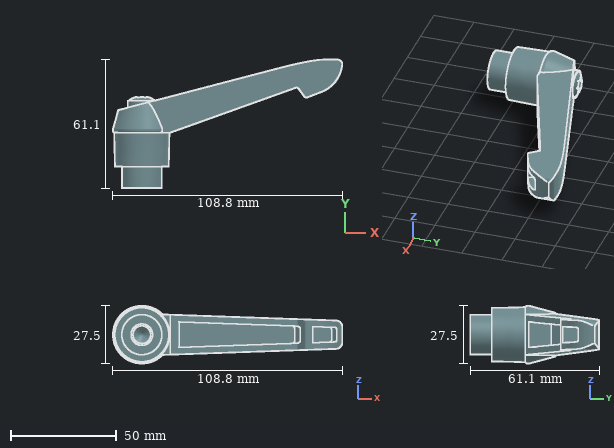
import cadquery as cq
import math


insert_diameter = 19.0
insert_length = 10.2
hole_diameter = 8.38
hole_mouth_diameter = 10.2
hole_depth = 20.0
drill_point_angle = 118.0

skirt_bottom_radius = 12.8
skirt_top_radius = 13.15
skirt_top = 26.2
rim_radius = 13.73
rim_round_height = 1.0
rim_land = 0.8
head_cone_angle = 15.0

screw_radius = 6.7
screw_shoulder = 41.5
dome_radius = 6.2
dome_sphere_radius = 9.96
socket_across_flats = 6.0
socket_depth = 5.0

top_angle = 14.65
top_height_at_axis = 39.9
arm_end = 95.02
crown_start_x = 66.2
crown_break = (80.2, 60.3)
crown_end = (92.2, 60.93)
nose_height = 58.9
nose_bulge = (94.3, 60.2)
tip_bulge = (92.4, 51.4)
tip_arc_start = (85.35, 45.6)
underside_start = 13.4
notch_root = (73.65, 47.75)
hook_point = (77.55, 42.6)
root_round = 0.9
hook_round = 1.3

arm_half_width_at_axis = 9.99
side_angle = 2.0
tip_corner_radius = 3.2

side_wall = 3.35
upper_wall_height = 5.2
pocket_end_angle = 19.0
pocket_corner_radius = 1.0
long_pocket_mouth = ((17.65, 27.7), (75.0, 45.9))
tip_pocket_mouth = ((81.0, 44.0), (92.2, 51.4))

clear_of_part = 100.0


def top_line_height(x):
    """Height of the straight upper face of the arm and head."""
    return top_height_at_axis + x * math.tan(math.radians(top_angle))


def half_width(x):
    """Half width of the tapering arm at distance x from the hub axis."""
    return arm_half_width_at_axis - x * math.tan(math.radians(side_angle))


def tapered_outline(start, end, inset):
    """Corners of the arm plan between two X positions, narrowed by inset per side."""
    start_half = half_width(start) - inset
    end_half = half_width(end) - inset
    return [(start, -start_half), (end, -end_half), (end, end_half), (start, start_half)]


def revolve_about_hub(profile):
    """Solid of revolution about the hub axis from an open half profile."""
    return profile.close().revolve(360, (0, 0, 0), (0, 1, 0))


def make_hub():
    """Insert, skirt, rim and conical head, cut off by the sloping upper face."""
    rim_bottom = skirt_top + rim_round_height
    cone_start = rim_bottom + rim_land
    cone_top = top_line_height(rim_radius)
    cone_top_radius = rim_radius - (cone_top - cone_start) * math.tan(math.radians(head_cone_angle))
    body = revolve_about_hub(
        cq.Workplane("XY")
        .moveTo(0, cone_top)
        .lineTo(cone_top_radius, cone_top)
        .lineTo(rim_radius, cone_start)
        .lineTo(rim_radius, rim_bottom)
        .tangentArcPoint((skirt_top_radius, skirt_top), relative=False)
        .lineTo(skirt_bottom_radius, insert_length)
        .lineTo(insert_diameter / 2, insert_length)
        .lineTo(insert_diameter / 2, 0)
        .lineTo(0, 0)
    )
    reach = 2 * rim_radius
    above_face = (
        cq.Workplane("XY")
        .moveTo(-reach, top_line_height(-reach))
        .lineTo(reach, top_line_height(reach))
        .lineTo(reach, clear_of_part)
        .lineTo(-reach, clear_of_part)
        .close()
        .extrude(reach, both=True)
    )
    return body.cut(above_face)


def make_screw_end():
    """Screw end with a domed face."""
    sphere_centre = screw_shoulder - math.sqrt(dome_sphere_radius**2 - dome_radius**2)
    half_angle = math.asin(dome_radius / dome_sphere_radius) / 2
    dome_mid = (
        dome_sphere_radius * math.sin(half_angle),
        sphere_centre + dome_sphere_radius * math.cos(half_angle),
    )
    return revolve_about_hub(
        cq.Workplane("XY")
        .moveTo(0, skirt_top)
        .lineTo(screw_radius, skirt_top)
        .lineTo(screw_radius, screw_shoulder)
        .lineTo(dome_radius, screw_shoulder)
        .threePointArc(dome_mid, (0, sphere_centre + dome_sphere_radius))
    )


def make_socket():
    """Hexagon socket in the domed face, two of its corners pointing along Z."""
    return (
        cq.Workplane("XZ", origin=(0, screw_shoulder - socket_depth, 0))
        .transformed(rotate=(0, 0, 90))
        .polygon(6, socket_across_flats, circumscribed=True)
        .extrude(-clear_of_part)
    )


def make_threaded_hole():
    """Chamfered core hole with a drill point."""
    radius = hole_diameter / 2
    mouth_radius = hole_mouth_diameter / 2
    point_length = radius / math.tan(math.radians(drill_point_angle / 2))
    return revolve_about_hub(
        cq.Workplane("XY")
        .lineTo(mouth_radius, 0)
        .lineTo(radius, mouth_radius - radius)
        .lineTo(radius, hole_depth)
        .lineTo(0, hole_depth + point_length)
    )


def make_arm():
    """Side profile with crown, nose and hook, trimmed to the tapering plan."""
    side = (
        cq.Workplane("XY")
        .moveTo(0, skirt_top)
        .lineTo(0, top_height_at_axis)
        .lineTo(crown_start_x, top_line_height(crown_start_x))
        .tangentArcPoint(crown_break, relative=False)
        .tangentArcPoint(crown_end, relative=False)
        .threePointArc(nose_bulge, (arm_end, nose_height))
        .threePointArc(tip_bulge, tip_arc_start)
        .lineTo(*hook_point)
        .lineTo(*notch_root)
        .lineTo(underside_start, skirt_top)
        .close()
        .extrude(arm_half_width_at_axis, both=True)
    )
    side = side.edges(cq.NearestToPointSelector((*hook_point, 0))).fillet(hook_round)
    side = side.edges(cq.NearestToPointSelector((*notch_root, 0))).fillet(root_round)
    plan = (
        cq.Workplane("XZ")
        .polyline(tapered_outline(0, arm_end, 0))
        .close()
        .extrude(-clear_of_part)
        .edges("|Y and >X")
        .fillet(tip_corner_radius)
    )
    return side.intersect(plan)


def make_pocket(mouth):
    """Pocket with leaning end walls and a floor parallel to the straight upper face."""
    lean = math.tan(math.radians(pocket_end_angle))
    top_slope = math.tan(math.radians(top_angle))

    def at_height(point, y):
        """Position at height y on the leaning end wall through the mouth point."""
        return (point[0] - (y - point[1]) * lean, y)

    def at_floor(point):
        """Where the end wall through the mouth point meets the floor."""
        floor_at_point = top_line_height(point[0]) - upper_wall_height
        rise = (floor_at_point - point[1]) / (1 + lean * top_slope)
        return at_height(point, point[1] + rise)

    start, end = mouth
    end_wall = (at_height(end, 0), at_floor(end))
    block = (
        cq.Workplane("XY")
        .polyline([at_height(start, 0), *end_wall, at_floor(start)])
        .close()
        .extrude(arm_half_width_at_axis, both=True)
    )
    plan = (
        cq.Workplane("XZ")
        .polyline(tapered_outline(0, 2 * arm_end, side_wall))
        .close()
        .extrude(clear_of_part, both=True)
    )
    (low_x, low_y), (high_x, high_y) = end_wall
    end_face = cq.NearestToPointSelector(((low_x + high_x) / 2, (low_y + high_y) / 2, 0))
    return block.intersect(plan).faces(end_face).edges("not |Z").fillet(pocket_corner_radius)


result = make_hub().union(make_arm()).union(make_screw_end())
result = result.cut(make_threaded_hole()).cut(make_socket())
for pocket_mouth in (long_pocket_mouth, tip_pocket_mouth):
    result = result.cut(make_pocket(pocket_mouth))